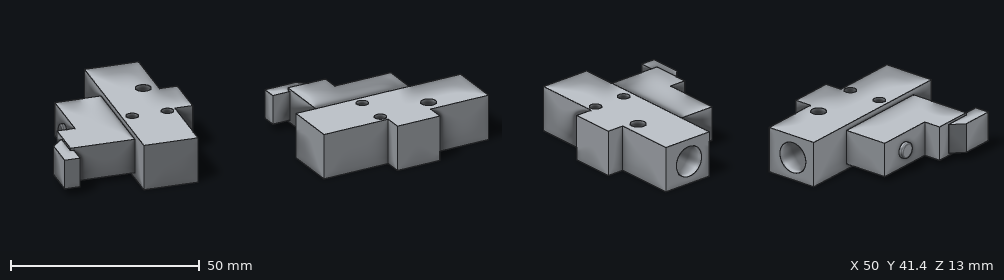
import cadquery as cq
import math

body_length = 50.0
body_depth = 15.1
body_height = 13.0
mid_height = body_height / 2

boss_left = 17.6
boss_width = 12.9
boss_depth = 5.0

housing_left = 13.95
housing_width = 28.4
housing_step = 17.0
housing_short_depth = 12.9
housing_depth = 17.9
housing_height = 9.8

lever_left = 34.85
lever_right = 47.5
lever_front = 21.25
lever_thickness = 4.3
lever_height = 8.4
lever_nose = 3.25

button_x = 22.25
button_diameter = 4.5
button_length = 1.15
button_fillet = 0.4

mount_x = 31.5
mount_diameter = 3.3
mount_front_y = 2.9
mount_spacing = 9.8
port_x = 16.0
port_y = 11.1
port_diameter = 4.2
port_depth = 5.0
port_tip_angle = 118
bore_diameter = 8.75
bore_y = 7.05
bore_depth = 12.5


def centered_prism(points, height):
    """Extrude an XY outline symmetrically about the body's mid height."""
    base = cq.Workplane("XY").workplane(offset=mid_height - height / 2)
    return base.polyline(points).close().extrude(height)


def make_body():
    bar = cq.Workplane("XY").box(body_length, body_depth, body_height, centered=False)
    boss = (
        cq.Workplane("XY")
        .box(boss_width, boss_depth, body_height, centered=False)
        .translate((boss_left, body_depth, 0))
    )
    return bar.union(boss)


def make_housing():
    housing_right = housing_left + housing_width
    step_x = housing_left + housing_step
    outline = [
        (housing_left, 0),
        (housing_left, -housing_short_depth),
        (step_x, -housing_short_depth),
        (step_x, -housing_depth),
        (housing_right, -housing_depth),
        (housing_right, 0),
    ]
    return centered_prism(outline, housing_height)


def make_lever():
    lever_back = lever_front - lever_thickness
    outline = [
        (lever_left, -lever_back),
        (lever_left, -(lever_front - lever_nose)),
        (lever_left + lever_nose, -lever_front),
        (lever_right, -lever_front),
        (lever_right, -lever_back),
    ]
    return centered_prism(outline, lever_height)


def make_button():
    return (
        cq.Workplane("XZ", origin=(button_x, -housing_short_depth, mid_height))
        .circle(button_diameter / 2)
        .extrude(button_length)
        .faces("<Y")
        .edges()
        .fillet(button_fillet)
    )


def make_mount_hole(y):
    return cq.Workplane("XY").center(mount_x, y).circle(mount_diameter / 2).extrude(body_height)


def make_bore():
    bore = cq.Workplane("YZ", origin=(0, bore_y, mid_height))
    return bore.circle(bore_diameter / 2).extrude(bore_depth)


def make_port():
    """Blind round hole from the top face, ending in a drill-point cone."""
    radius = port_diameter / 2
    tip_length = radius / math.tan(math.radians(port_tip_angle / 2))
    profile = [
        (0, 0),
        (radius, 0),
        (radius, -port_depth),
        (0, -port_depth - tip_length),
    ]
    drill = cq.Workplane("XZ").polyline(profile).close().revolve(360, (0, 0, 0), (0, 1, 0))
    return drill.translate((port_x, port_y, body_height))


result = make_body().union(make_housing()).union(make_lever()).union(make_button())
result = result.cut(make_bore()).cut(make_port())
for mount_y in (mount_front_y, mount_front_y + mount_spacing):
    result = result.cut(make_mount_hole(mount_y))